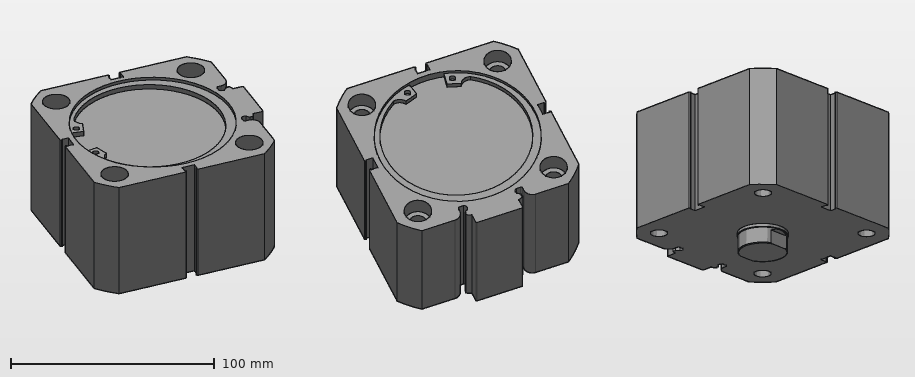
import cadquery as cq
import math


quarter_arc_inset = 1 - math.sqrt(0.5)

width = 96.5
half_width = width / 2
height = 61.8
corner_radius = 62.0

overall_depth = 102.0
rail_half_width = 12.4
rail_top = overall_depth - half_width
rail_edge_fillet = 0.4
rail_lip_crest = (14.1, 47.7)
rail_lip_tip = (15.2, 46.9)
rail_lip_hollow = (14.7, 46.3)
rail_lip_heel = (14.9, 45.6)
rail_neck_top = (13.2, 44.2)
rail_neck_side = (12.9, 42.7)
rail_neck_foot_x = 14.0
rail_groove_floor = 41.4
rail_groove_wall_x = 17.0
rail_shoulder_radius = 4.4
rail_floor_fillet = 0.8

slot_depth = 4.5
slot_half_width = 3.3
slot_lip_depth = 1.0
slot_mouth_half_width = 2.7
slot_mouth_chamfer = 0.5

mount_offset = 36.0
mount_diameter = 8.5
counterbore_diameter = 13.5
counterbore_depth = 9.0

bore_radius = 41.0
ring_recess = 1.6
ring_thickness = 2.5
cover_thickness = 10.2
ring_base = height - ring_recess - ring_thickness
cover_base = ring_base - cover_thickness

ring_inner_radius = 37.5
ring_inner_offset = -1.8
lug_gap_outer_x = 9.2
lug_gap_corner = (8.1, -33.4)
lug_peak = (14.7, -31.1)
lug_valley = (17.3, -33.4)
lug_end_x = 20.4
lug_hole_center = (11.9, -35.7)
lug_hole_diameter = 3.1

shaft_radius = 12.5
nose_radius = 12.2
rod_projection = 10.2
shoulder_drop = 1.5
nose_chamfer = 0.4
flat_half_width = 11.0


def mirrored(points):
    """The points reflected across the YZ plane."""
    return [(-x, y) for x, y in points]


def block():
    """Square prism with its corners turned to a large radius."""
    square = cq.Workplane("XY").rect(width, width).extrude(height)
    return square.intersect(cq.Workplane("XY").circle(corner_radius).extrude(height))


def rail():
    """Upstanding part of the rail, beyond the housing's +Y face."""
    base = rail_groove_floor
    return (
        cq.Workplane("XY")
        .center(0, (base + rail_top) / 2)
        .rect(2 * rail_half_width, rail_top - base)
        .extrude(height)
        .edges("|Z and >Y")
        .fillet(rail_edge_fillet)
    )


def rail_groove():
    """Undercut groove on the rail's +X side."""
    wall_top = half_width - rail_shoulder_radius
    shoulder_end = rail_groove_wall_x + rail_shoulder_radius
    bend = rail_shoulder_radius * quarter_arc_inset
    floor_bend = rail_floor_fillet * quarter_arc_inset
    return (
        cq.Workplane("XY")
        .moveTo(rail_half_width, half_width)
        .threePointArc(rail_lip_crest, rail_lip_tip)
        .threePointArc(rail_lip_hollow, rail_lip_heel)
        .lineTo(*rail_neck_top)
        .threePointArc(rail_neck_side, (rail_neck_foot_x, rail_groove_floor))
        .lineTo(rail_groove_wall_x - rail_floor_fillet, rail_groove_floor)
        .threePointArc(
            (rail_groove_wall_x - floor_bend, rail_groove_floor + floor_bend),
            (rail_groove_wall_x, rail_groove_floor + rail_floor_fillet),
        )
        .lineTo(rail_groove_wall_x, wall_top)
        .threePointArc((rail_groove_wall_x + bend, half_width - bend), (shoulder_end, half_width))
        .close()
        .extrude(height)
    )


def sensor_slot():
    """T-slot with a chamfered mouth, opening on the -Y face."""
    half_profile = [
        (slot_mouth_half_width + slot_mouth_chamfer, -half_width),
        (slot_mouth_half_width, -half_width + slot_mouth_chamfer),
        (slot_mouth_half_width, -half_width + slot_lip_depth),
        (slot_half_width, -half_width + slot_lip_depth),
        (slot_half_width, -half_width + slot_depth),
    ]
    profile = half_profile + mirrored(half_profile)[::-1]
    return cq.Workplane("XY").polyline(profile).close().extrude(height)


def make_housing():
    body = block().union(rail())
    groove = rail_groove()
    body = body.cut(groove).cut(groove.mirror("YZ"))
    for angle in (-90, 0, 90):
        body = body.cut(sensor_slot().rotate((0, 0, 0), (0, 0, 1), angle))
    body = (
        body.faces(">Z")
        .workplane(origin=(0, 0, height))
        .rect(2 * mount_offset, 2 * mount_offset, forConstruction=True)
        .vertices()
        .cboreHole(mount_diameter, counterbore_diameter, counterbore_depth)
    )
    bore = cq.Workplane("XY").workplane(offset=cover_base).circle(bore_radius).extrude(height - cover_base)
    rod_hole = cq.Workplane("XY").circle(shaft_radius).extrude(cover_base)
    return body.cut(bore).cut(rod_hole)


def make_cover():
    """Plain disc that closes the bore."""
    return cq.Workplane("XY").workplane(offset=cover_base).circle(bore_radius).extrude(cover_thickness)


def make_ring():
    """Internal retaining ring: an eccentric open ring with a drilled lug at each end."""
    end_y = ring_inner_offset - math.sqrt(ring_inner_radius**2 - lug_end_x**2)
    gap_y = -math.sqrt(bore_radius**2 - lug_gap_outer_x**2)
    lug_end = (lug_end_x, end_y)
    gap_end = (lug_gap_outer_x, gap_y)
    left_valley, left_peak, left_corner, left_gap_end, left_lug_end = mirrored(
        [lug_valley, lug_peak, lug_gap_corner, gap_end, lug_end]
    )
    return (
        cq.Workplane("XY")
        .workplane(offset=ring_base)
        .moveTo(*gap_end)
        .lineTo(*lug_gap_corner)
        .lineTo(*lug_peak)
        .threePointArc(lug_valley, lug_end)
        .threePointArc((0, ring_inner_offset + ring_inner_radius), left_lug_end)
        .threePointArc(left_valley, left_peak)
        .lineTo(*left_corner)
        .lineTo(*left_gap_end)
        .threePointArc((0, bore_radius), gap_end)
        .close()
        .extrude(ring_thickness)
        .faces(">Z")
        .workplane(origin=(0, 0, ring_base + ring_thickness))
        .pushPoints([lug_hole_center] + mirrored([lug_hole_center]))
        .hole(lug_hole_diameter)
    )


def make_rod():
    """Stepped round rod with two wrench flats that run out at 45 degrees."""
    step = shaft_radius - nose_radius
    body = (
        cq.Workplane("XZ")
        .polyline([
            (0, cover_base),
            (shaft_radius, cover_base),
            (shaft_radius, -shoulder_drop),
            (nose_radius, -shoulder_drop - step),
            (nose_radius, -rod_projection + nose_chamfer),
            (nose_radius - nose_chamfer, -rod_projection),
            (0, -rod_projection),
        ])
        .close()
        .revolve(360, (0, 0), (0, 1))
    )
    flat_top = -shoulder_drop - (shaft_radius - flat_half_width)
    flat_cut = (
        cq.Workplane("YZ")
        .polyline([
            (flat_half_width, -rod_projection),
            (flat_half_width, flat_top),
            (shaft_radius, -shoulder_drop),
            (shaft_radius, -rod_projection),
        ])
        .close()
        .extrude(shaft_radius, both=True)
    )
    return body.cut(flat_cut).cut(flat_cut.mirror("XZ"))


housing = make_housing()
cover = make_cover()
ring = make_ring()
rod = make_rod()

result = cq.Compound.makeCompound([housing.val(), cover.val(), ring.val(), rod.val()])